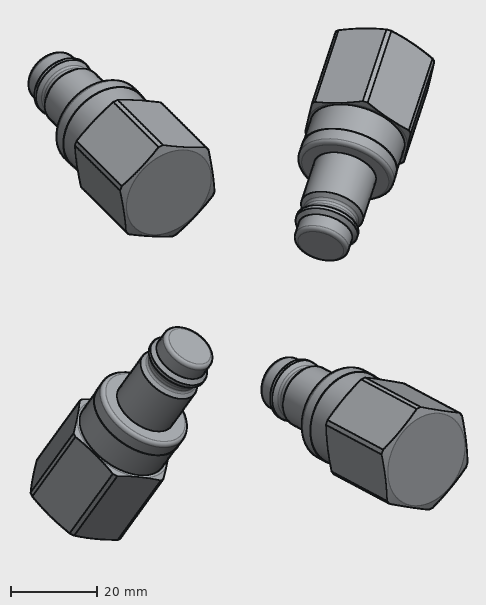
import cadquery as cq
import math

tip_radius = 13.0 / 2
tip_fillet = 1.0
shank_radius = 15.0 / 2
groove_radius = 12.65 / 2
groove_fillet = 1.0
ridge_start = 4.2
groove_center = 8.06
groove_floor_width = 0.8
flank_angle = math.radians(45)

collar_start = 21.5
collar_radius = 23.0 / 2
collar_fillet = 1.0
collar_end = 25.4
sleeve_radius = 22.75 / 2

hex_start = 32.5
total_length = 54.4
hex_sides = 6
hex_across_flats = 24.0
hex_corner_radius = 13.525
hex_roll = 7.5
chamfer_angle = math.radians(15)
front_chamfer_length = 0.4
rear_chamfer_length = 0.57


def rounded_corner_midpoint(face_x, outer_radius, fillet):
    """Middle of the arc that rounds the outer edge of a face looking toward -X."""
    inset = fillet * (1 - math.sqrt(0.5))
    return face_x + inset, outer_radius - inset


def make_plug():
    """Turned nose, collar and sleeve, revolved about the X axis."""
    ridge_top_start = ridge_start + (shank_radius - tip_radius) / math.tan(flank_angle)
    floor_half = groove_floor_width / 2
    fillet_end_radius = groove_radius + groove_fillet * (1 - math.cos(flank_angle))
    fillet_mid_radius = groove_radius + groove_fillet * (1 - math.cos(flank_angle / 2))
    fillet_end = floor_half + groove_fillet * math.sin(flank_angle)
    fillet_mid = floor_half + groove_fillet * math.sin(flank_angle / 2)
    mouth_half = fillet_end + (shank_radius - fillet_end_radius) / math.tan(flank_angle)

    tip_corner = rounded_corner_midpoint(0, tip_radius, tip_fillet)
    collar_corner = rounded_corner_midpoint(collar_start, collar_radius, collar_fillet)

    profile = (
        cq.Workplane("XY")
        .moveTo(0, 0)
        .lineTo(0, tip_radius - tip_fillet)
        .threePointArc(tip_corner, (tip_fillet, tip_radius))
        .lineTo(ridge_start, tip_radius)
        .lineTo(ridge_top_start, shank_radius)
        .lineTo(groove_center - mouth_half, shank_radius)
        .lineTo(groove_center - fillet_end, fillet_end_radius)
        .threePointArc(
            (groove_center - fillet_mid, fillet_mid_radius),
            (groove_center - floor_half, groove_radius),
        )
        .lineTo(groove_center + floor_half, groove_radius)
        .threePointArc(
            (groove_center + fillet_mid, fillet_mid_radius),
            (groove_center + fillet_end, fillet_end_radius),
        )
        .lineTo(groove_center + mouth_half, shank_radius)
        .lineTo(collar_start, shank_radius)
        .lineTo(collar_start, collar_radius - collar_fillet)
        .threePointArc(collar_corner, (collar_start + collar_fillet, collar_radius))
        .lineTo(collar_end, collar_radius)
        .lineTo(collar_end, sleeve_radius)
        .lineTo(hex_start, sleeve_radius)
        .lineTo(hex_start, 0)
        .close()
    )
    return profile.revolve(360, (0, 0, 0), (1, 0, 0))


def make_hexagon():
    """Hexagon cut to a chamfered round blank, which clips its corners and ends."""
    across_corners = hex_across_flats / math.cos(math.pi / hex_sides)
    prism = (
        cq.Workplane("YZ", origin=(hex_start, 0, 0))
        .polygon(hex_sides, across_corners)
        .extrude(total_length - hex_start)
        .rotate((0, 0, 0), (1, 0, 0), 90 + hex_roll)
    )

    front_radius = hex_corner_radius - front_chamfer_length / math.tan(chamfer_angle)
    rear_radius = hex_corner_radius - rear_chamfer_length / math.tan(chamfer_angle)
    blank = (
        cq.Workplane("XY")
        .moveTo(hex_start, 0)
        .lineTo(hex_start, front_radius)
        .lineTo(hex_start + front_chamfer_length, hex_corner_radius)
        .lineTo(total_length - rear_chamfer_length, hex_corner_radius)
        .lineTo(total_length, rear_radius)
        .lineTo(total_length, 0)
        .close()
        .revolve(360, (0, 0, 0), (1, 0, 0))
    )
    return prism.intersect(blank)


result = make_plug().union(make_hexagon())